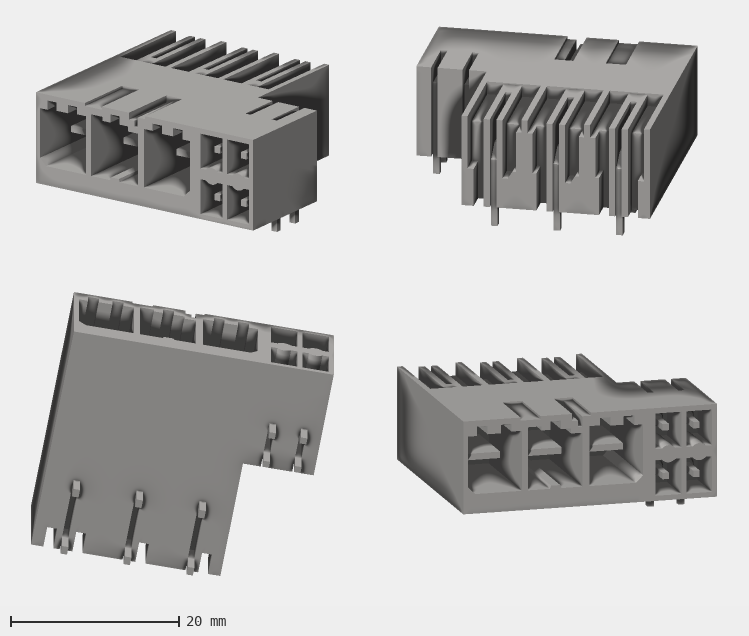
import cadquery as cq


LENGTH = 31.45
POWER_DEPTH = 28.3
SIGNAL_DEPTH = 13.37
HEIGHT = 11.4
LEG_REACH = 2.6

POWER_PITCH = 7.6
FIRST_POWER_X = 3.85
POWER_CENTRES = [FIRST_POWER_X + POWER_PITCH * i for i in range(3)]
POWER_WIDTH = 2 * POWER_CENTRES[1]
PLATE = 0.8
BLADE_WIDTH = 4.4
BLADE_Z = HEIGHT / 2
BLADE_TIP = 5.03
BLADE_TOP = BLADE_Z + PLATE / 2
POWER_LEG = 1.0
TAIL_FRONT = 19.1
TAIL_BACK = 27.68
TAIL_STEP = 21.65
TAIL_SLOPE = 25.47
TAIL_HIGH = BLADE_Z + 1.57
TAIL_LOW = TAIL_HIGH - 1.4
TAIL_UNDERSIDE = 2.52

PIN = 0.8
PIN_PITCH = 3.8
FIRST_PIN_X = 25.45
PIN_CENTRES = [FIRST_PIN_X, FIRST_PIN_X + PIN_PITCH]
PIN_TIP = 1.2
LOWER_PIN_Z = 2.67
UPPER_PIN_Z = 8.65
LOWER_LEG_Y = 8.0
UPPER_LEG_Y = 11.8

CHAMBER_WIDTH = 3.2
CHAMBER_HEIGHT = 4.37
CHAMBER_DEPTH = 6.3
LOWER_CHAMBER_FLOOR = 0.63
LOWER_CHAMBER_CEILING = LOWER_CHAMBER_FLOOR + CHAMBER_HEIGHT
UPPER_CHAMBER_FLOOR = 6.35
BUMP_HALF_WIDTH = 0.82
BUMP_HEIGHT = 0.38
BOSS_BASE_RADIUS = 1.13
BOSS_TIP_RADIUS = 0.85
BOSS_HEIGHT = 0.8

CAVITY_DEPTH = 14.15
CAVITY_HALF = 3.43
CAVITY_FLOOR = 2.4
CAVITY_CEILING = 9.62
KEYWAY_TOP = 10.65
END_OUTER_HALF = 3.25
END_OUTER_CEILING = 9.5
END_INNER_CEILING = 9.75
END_CHAMFER = 0.88
END_KEYWAY_INNER = 0.82
END_KEYWAY_OUTER = 2.15
MIDDLE_RIGHT_HALF = 3.33
MIDDLE_KEYWAY_HALF = 0.65
MIDDLE_LEFT_CEILING = 10.13
MIDDLE_LEFT_STEP = 1.75
MIDDLE_RIGHT_CEILING = 9.0
MIDDLE_RIGHT_STEP = 1.92
FLOOR_RIB_TOP_HALF = 0.57
FLOOR_RIB_BASE_HALF = 0.72
FLOOR_RIB_HEIGHT = 0.38

POCKET_FRONT = 16.65
POCKET_FLOOR = 9.78
POCKET_HALF = 3.43
OUTER_WALL = 0.72
RIB_WIDTH = 2.3
RIB_HALF = RIB_WIDTH / 2
RIB_DROP = 0.205
NOTCH_FRONT = 25.73
NOTCH_REACH = 2.8
OPENING_REACH = 2.35
LEDGE_Z = 4.72
DIP_FLOOR = 3.77
DIP_FLANK_END = 1.75

GROOVE_LENGTH = 7.85
GROOVE_FLOOR = 11.0
PLAIN_GROOVE_LEFT = 7.1
PLAIN_GROOVE_RIGHT = 9.55
STEPPED_GROOVE_LEFT = 13.5
STEPPED_GROOVE_RIGHT = 15.82
STEP_FLOOR = 10.5
SLIT_FLOOR = 9.75
SLIT_LEFT = 14.25
SLIT_RIGHT = 14.75


def box(x0, x1, y0, y1, z0, z1):
    """Box between two limits on each axis."""
    return cq.Workplane("XY", origin=(x0, y0, z0)).box(x1 - x0, y1 - y0, z1 - z0, centered=False)


def prism_y(points, y0, y1):
    """Extrude an XZ outline from y0 to y1."""
    return cq.Workplane("XZ", origin=(0, y0, 0)).polyline(points).close().extrude(y0 - y1)


def housing_block():
    power_section = box(0, POWER_WIDTH, 0, POWER_DEPTH, 0, HEIGHT)
    signal_section = box(0, LENGTH, 0, SIGNAL_DEPTH, 0, HEIGHT)
    return power_section.union(signal_section)


def end_cavity_outline(centre, side):
    """Outline of an end cavity; side is -1 for the left one and +1 for the right one."""
    offsets = [
        (-CAVITY_HALF, CAVITY_FLOOR),
        (END_OUTER_HALF - END_CHAMFER, CAVITY_FLOOR),
        (END_OUTER_HALF, CAVITY_FLOOR + END_CHAMFER),
        (END_OUTER_HALF, END_OUTER_CEILING),
        (END_KEYWAY_OUTER, END_OUTER_CEILING),
        (END_KEYWAY_OUTER, KEYWAY_TOP),
        (END_KEYWAY_INNER, KEYWAY_TOP),
        (END_KEYWAY_INNER, CAVITY_CEILING),
        (-END_KEYWAY_INNER, CAVITY_CEILING),
        (-END_KEYWAY_INNER, KEYWAY_TOP),
        (-END_KEYWAY_OUTER, KEYWAY_TOP),
        (-END_KEYWAY_OUTER, END_INNER_CEILING),
        (-CAVITY_HALF, END_INNER_CEILING),
    ]
    return [(centre + side * x, z) for x, z in offsets]


def middle_cavity_outline(centre):
    """Outline of the middle cavity, with a keyway above and a tapered rib on its floor."""
    offsets = [
        (-CAVITY_HALF, CAVITY_FLOOR),
        (-FLOOR_RIB_BASE_HALF, CAVITY_FLOOR),
        (-FLOOR_RIB_TOP_HALF, CAVITY_FLOOR + FLOOR_RIB_HEIGHT),
        (FLOOR_RIB_TOP_HALF, CAVITY_FLOOR + FLOOR_RIB_HEIGHT),
        (FLOOR_RIB_BASE_HALF, CAVITY_FLOOR),
        (MIDDLE_RIGHT_HALF, CAVITY_FLOOR),
        (MIDDLE_RIGHT_HALF, MIDDLE_RIGHT_CEILING),
        (MIDDLE_RIGHT_STEP, MIDDLE_RIGHT_CEILING),
        (MIDDLE_RIGHT_STEP, CAVITY_CEILING),
        (MIDDLE_KEYWAY_HALF, CAVITY_CEILING),
        (MIDDLE_KEYWAY_HALF, KEYWAY_TOP),
        (-MIDDLE_KEYWAY_HALF, KEYWAY_TOP),
        (-MIDDLE_KEYWAY_HALF, CAVITY_CEILING),
        (-MIDDLE_LEFT_STEP, CAVITY_CEILING),
        (-MIDDLE_LEFT_STEP, MIDDLE_LEFT_CEILING),
        (-CAVITY_HALF, MIDDLE_LEFT_CEILING),
    ]
    return [(centre + x, z) for x, z in offsets]


def cut_power_cavities(body):
    left, middle, right = POWER_CENTRES
    outlines = [
        end_cavity_outline(left, -1),
        middle_cavity_outline(middle),
        end_cavity_outline(right, 1),
    ]
    for outline in outlines:
        body = body.cut(prism_y(outline, 0, CAVITY_DEPTH))
    return body


def signal_chamber(centre, floor, pin_z, bump_base, bump_top):
    """Space of one chamber, less its rounded bump and the conical boss round its pin."""
    half = CHAMBER_WIDTH / 2
    chamber = box(centre - half, centre + half, 0, CHAMBER_DEPTH, floor, floor + CHAMBER_HEIGHT)
    bump = (
        cq.Workplane("XZ")
        .moveTo(centre - BUMP_HALF_WIDTH, bump_base)
        .threePointArc((centre, bump_top), (centre + BUMP_HALF_WIDTH, bump_base))
        .close()
        .extrude(-CHAMBER_DEPTH)
    )
    boss_base = cq.Vector(centre, CHAMBER_DEPTH, pin_z)
    toward_front = cq.Vector(0, -1, 0)
    boss = cq.Solid.makeCone(BOSS_BASE_RADIUS, BOSS_TIP_RADIUS, BOSS_HEIGHT, boss_base, toward_front)
    return chamber.cut(bump).cut(cq.Workplane(boss))


def cut_signal_chambers(body):
    upper_bump_top = UPPER_CHAMBER_FLOOR + BUMP_HEIGHT
    lower_bump_top = LOWER_CHAMBER_CEILING - BUMP_HEIGHT
    for x in PIN_CENTRES:
        upper = signal_chamber(x, UPPER_CHAMBER_FLOOR, UPPER_PIN_Z, UPPER_CHAMBER_FLOOR, upper_bump_top)
        lower = signal_chamber(x, LOWER_CHAMBER_FLOOR, LOWER_PIN_Z, LOWER_CHAMBER_CEILING, lower_bump_top)
        body = body.cut(upper).cut(lower)
    return body


def cut_signal_slots(body):
    """Full-height slots, open at the back, that take the legs of both pin rows."""
    half = PIN / 2
    for x in PIN_CENTRES:
        body = body.cut(box(x - half, x + half, LOWER_LEG_Y - half, SIGNAL_DEPTH, 0, HEIGHT))
    return body


def closed_dip(centre):
    """Dip left of a rib with a sloped outer flank, closed underneath."""
    outline = [
        (centre - OPENING_REACH, LEDGE_Z),
        (centre - DIP_FLANK_END, DIP_FLOOR),
        (centre - RIB_HALF, DIP_FLOOR),
        (centre - RIB_HALF, LEDGE_Z),
    ]
    return prism_y(outline, NOTCH_FRONT, POWER_DEPTH)


def cut_rear_pocket(body, centre):
    """Pocket on both sides of a slotted rib, with a deeper notch at the back of each side."""
    is_first = centre == POWER_CENTRES[0]
    is_last = centre == POWER_CENTRES[-1]
    left = OUTER_WALL if is_first else centre - POCKET_HALF
    right = POWER_WIDTH - OUTER_WALL if is_last else centre + POCKET_HALF
    notch_left = left if is_first else centre - NOTCH_REACH
    notch_right = right if is_last else centre + NOTCH_REACH
    rib_left = centre - RIB_HALF
    rib_right = centre + RIB_HALF

    body = body.cut(box(left, rib_left, POCKET_FRONT, POWER_DEPTH, POCKET_FLOOR, HEIGHT))
    body = body.cut(box(rib_right, right, POCKET_FRONT, POWER_DEPTH, POCKET_FLOOR, HEIGHT))
    body = body.cut(box(rib_left, rib_right, POCKET_FRONT, POWER_DEPTH, HEIGHT - RIB_DROP, HEIGHT))

    body = body.cut(box(notch_left, rib_left, NOTCH_FRONT, POWER_DEPTH, LEDGE_Z, HEIGHT))
    body = body.cut(box(rib_right, notch_right, NOTCH_FRONT, POWER_DEPTH, LEDGE_Z, HEIGHT))

    body = body.cut(box(rib_right, centre + OPENING_REACH, NOTCH_FRONT, POWER_DEPTH, 0, LEDGE_Z))
    if is_first:
        body = body.cut(box(centre - OPENING_REACH, rib_left, NOTCH_FRONT, POWER_DEPTH, 0, LEDGE_Z))
    else:
        body = body.cut(closed_dip(centre))

    return body.cut(box(centre - PLATE / 2, centre + PLATE / 2, TAIL_FRONT, POWER_DEPTH, 0, HEIGHT))


def cut_top_grooves(body):
    plain = box(PLAIN_GROOVE_LEFT, PLAIN_GROOVE_RIGHT, 0, GROOVE_LENGTH, GROOVE_FLOOR, HEIGHT)
    stepped_outline = [
        (STEPPED_GROOVE_LEFT, HEIGHT),
        (STEPPED_GROOVE_LEFT, STEP_FLOOR),
        (SLIT_LEFT, STEP_FLOOR),
        (SLIT_LEFT, SLIT_FLOOR),
        (SLIT_RIGHT, SLIT_FLOOR),
        (SLIT_RIGHT, GROOVE_FLOOR),
        (STEPPED_GROOVE_RIGHT, GROOVE_FLOOR),
        (STEPPED_GROOVE_RIGHT, HEIGHT),
    ]
    return body.cut(plain).cut(prism_y(stepped_outline, 0, GROOVE_LENGTH))


def make_housing(contacts):
    """Housing with a matching seat for every contact."""
    body = housing_block()
    body = cut_power_cavities(body)
    body = cut_signal_chambers(body)
    body = cut_signal_slots(body)
    for centre in POWER_CENTRES:
        body = cut_rear_pocket(body, centre)
    body = cut_top_grooves(body)
    for contact in contacts:
        body = body.cut(contact)
    return body


def power_contact(centre):
    blade = box(
        centre - BLADE_WIDTH / 2,
        centre + BLADE_WIDTH / 2,
        BLADE_TIP,
        TAIL_FRONT,
        BLADE_TOP - PLATE,
        BLADE_TOP,
    )
    tail_outline = [
        (TAIL_FRONT, -LEG_REACH),
        (TAIL_FRONT + POWER_LEG, -LEG_REACH),
        (TAIL_FRONT + POWER_LEG, TAIL_UNDERSIDE),
        (TAIL_BACK - POWER_LEG, TAIL_UNDERSIDE),
        (TAIL_BACK - POWER_LEG, -LEG_REACH),
        (TAIL_BACK, -LEG_REACH),
        (TAIL_BACK, TAIL_LOW),
        (TAIL_SLOPE, TAIL_HIGH),
        (TAIL_STEP, TAIL_HIGH),
        (TAIL_STEP, BLADE_TOP),
        (TAIL_FRONT, BLADE_TOP),
    ]
    tail_plane = cq.Workplane("YZ", origin=(centre - PLATE / 2, 0, 0))
    tail = tail_plane.polyline(tail_outline).close().extrude(PLATE)
    return blade.union(tail)


def signal_pin(centre, z, leg_y):
    half = PIN / 2
    shank = box(centre - half, centre + half, PIN_TIP, leg_y + half, z - half, z + half)
    leg = box(centre - half, centre + half, leg_y - half, leg_y + half, -LEG_REACH, z + half)
    return shank.union(leg)


power_contacts = [power_contact(x) for x in POWER_CENTRES]
lower_pins = [signal_pin(x, LOWER_PIN_Z, LOWER_LEG_Y) for x in PIN_CENTRES]
upper_pins = [signal_pin(x, UPPER_PIN_Z, UPPER_LEG_Y) for x in PIN_CENTRES]
all_contacts = power_contacts + lower_pins + upper_pins
housing = make_housing(all_contacts)

contact_solids = [contact.solids().val() for contact in all_contacts]
result = cq.Compound.makeCompound([housing.solids().val(), *contact_solids])